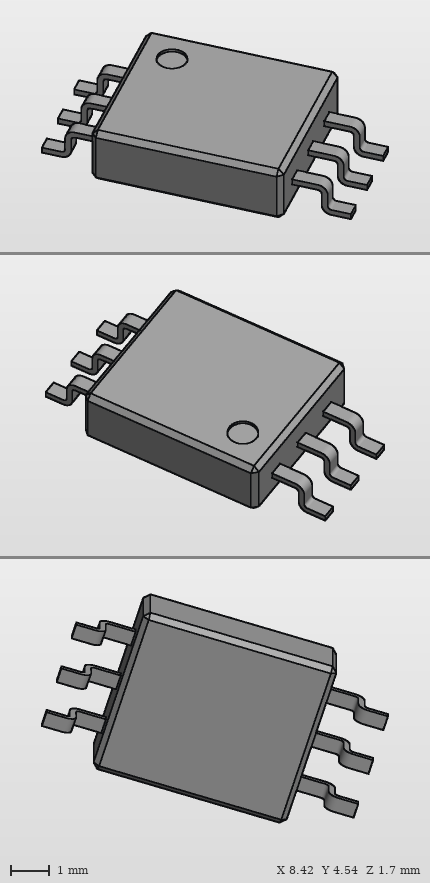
import cadquery as cq

overall_length = 8.42
overall_height = 1.7

housing_length = 5.22
housing_width = 4.54
standoff = 0.1
housing_height = overall_height - standoff
housing_chamfer = 0.15

lead_count = 3
lead_pitch = 1.27
lead_width = 0.4
lead_thickness = 0.17
lead_top = standoff + housing_height / 2
bend_inner_radius = 0.1
bend_outer_radius = bend_inner_radius + lead_thickness
foot_length = 0.63

marker_diameter = 0.8
marker_edge_distance = 1.0
marker_x = marker_edge_distance - housing_length / 2
marker_y = lead_pitch
marker_depth = 0.08
marker_thickness = 0.05

lead_offsets = [(i - (lead_count - 1) / 2) * lead_pitch for i in range(lead_count)]


def lead_blank(tip_x, outer_x, inner_x):
    """Half of a lead with sharp bends, from the centre plane to a foot tip on the +X side."""
    return (
        cq.Workplane("XZ")
        .moveTo(0, lead_top)
        .lineTo(outer_x, lead_top)
        .lineTo(outer_x, lead_thickness)
        .lineTo(tip_x, lead_thickness)
        .lineTo(tip_x, 0)
        .lineTo(inner_x, 0)
        .lineTo(inner_x, lead_top - lead_thickness)
        .lineTo(0, lead_top - lead_thickness)
        .close()
        .extrude(lead_width / 2, both=True)
    )


def bend_edge(blank, x, z):
    """The edge along Y that passes through the given X and Z."""
    margin = lead_thickness / 4
    corner = cq.selectors.BoxSelector(
        (x - margin, -lead_width, z - margin), (x + margin, lead_width, z + margin)
    )
    return blank.edges("|Y").edges(corner)


def make_lead(y):
    """Flat bar through the housing with a bent leg and foot at each end."""
    tip_x = overall_length / 2
    outer_x = tip_x - foot_length
    inner_x = outer_x - lead_thickness
    half = lead_blank(tip_x, outer_x, inner_x)
    for x, z, radius in (
        (outer_x, lead_top, bend_outer_radius),
        (inner_x, lead_top - lead_thickness, bend_inner_radius),
        (outer_x, lead_thickness, bend_inner_radius),
        (inner_x, 0, bend_outer_radius),
    ):
        half = bend_edge(half, x, z).fillet(radius)
    return half.union(half.mirror("YZ")).clean().translate((0, y, 0))


def make_marker():
    """Disc resting on the floor of the recess in the housing top."""
    floor = overall_height - marker_depth - marker_thickness
    return (
        cq.Workplane("XY", origin=(marker_x, marker_y, floor))
        .circle(marker_diameter / 2)
        .extrude(marker_thickness)
    )


def make_housing(leads):
    """Chamfered block with the marker recess and a passage for every lead."""
    block = (
        cq.Workplane("XY", origin=(0, 0, standoff))
        .box(housing_length, housing_width, housing_height, centered=(True, True, False))
        .edges()
        .chamfer(housing_chamfer)
    )
    recess = (
        cq.Workplane("XY", origin=(marker_x, marker_y, overall_height))
        .circle(marker_diameter / 2)
        .extrude(-(marker_depth + marker_thickness))
    )
    block = block.cut(recess)
    for lead in leads:
        block = block.cut(lead)
    return block


leads = [make_lead(y) for y in lead_offsets]
marker = make_marker()
housing = make_housing(leads)

result = cq.Compound.makeCompound([housing.val(), marker.val(), *[lead.val() for lead in leads]])